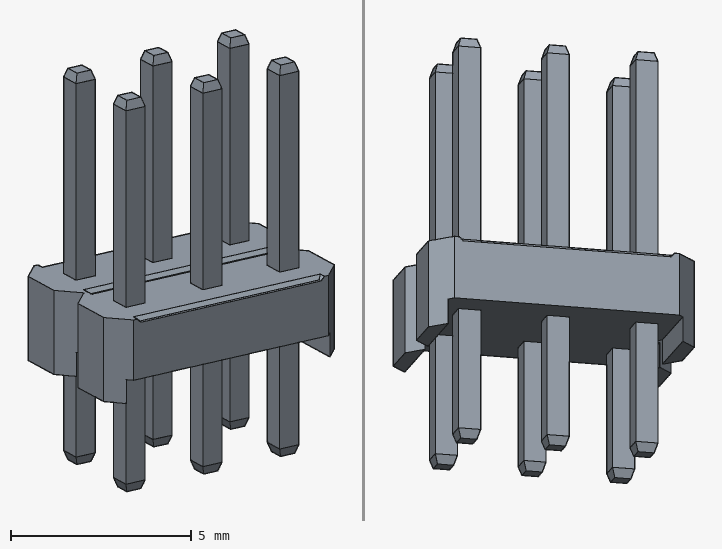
import cadquery as cq

pitch = 2.54
columns = 2
rows = 3

pin_length = 11.6
pin_width = 0.64
pin_tip_width = 0.46
pin_tip_height = 0.27

housing_top = 5.51
housing_height = 2.49
foot_height = 0.71
foot_length = 0.45
foot_side_inset = 0.15
corner_cut_x = 0.61
corner_cut_y = 0.59

groove_width = 0.43
groove_length = 6.17
groove_depth = 0.12
groove_floor_inset = 0.12

housing_length = rows * pitch
foot_bottom = housing_top - housing_height

column_centers = [(i - (columns - 1) / 2) * pitch for i in range(columns)]
row_centers = [(i - (rows - 1) / 2) * pitch for i in range(rows)]
cell_sides = [(i - columns / 2) * pitch for i in range(columns + 1)]


def housing_cell(x):
    """One column of the housing: an elongated octagon standing on two end feet."""
    half_width = pitch / 2
    half_length = housing_length / 2
    end_half_width = half_width - corner_cut_x
    side_half_length = half_length - corner_cut_y
    outline = [
        (-half_width, -side_half_length),
        (-end_half_width, -half_length),
        (end_half_width, -half_length),
        (half_width, -side_half_length),
        (half_width, side_half_length),
        (end_half_width, half_length),
        (-end_half_width, half_length),
        (-half_width, side_half_length),
    ]
    cell = (
        cq.Workplane("XY", origin=(x, 0, foot_bottom))
        .polyline(outline)
        .close()
        .extrude(housing_height)
    )
    channel = (
        cq.Workplane("XY", origin=(x, 0, foot_bottom))
        .rect(pitch, housing_length - 2 * foot_length)
        .extrude(foot_height)
    )
    side_steps = (
        cq.Workplane("XY", origin=(x, 0, foot_bottom))
        .pushPoints([(-half_width, 0), (half_width, 0)])
        .rect(2 * foot_side_inset, housing_length)
        .extrude(foot_height)
    )
    return cell.cut(channel).cut(side_steps)


def top_groove(x):
    """Cutter for one groove, narrowing towards its floor."""
    return (
        cq.Workplane("XY", origin=(x, 0, housing_top))
        .rect(groove_width, groove_length)
        .workplane(offset=-groove_depth)
        .rect(groove_width - 2 * groove_floor_inset, groove_length - 2 * groove_floor_inset)
        .loft(ruled=True)
    )


def pin(x, y):
    """Square pin with a tapered tip at both ends."""
    shaft = (
        cq.Workplane("XY", origin=(x, y, pin_tip_height))
        .rect(pin_width, pin_width)
        .extrude(pin_length - 2 * pin_tip_height)
    )
    lower_tip = (
        cq.Workplane("XY", origin=(x, y, 0))
        .rect(pin_tip_width, pin_tip_width)
        .workplane(offset=pin_tip_height)
        .rect(pin_width, pin_width)
        .loft(ruled=True)
    )
    middle = (x, y, pin_length / 2)
    upper_tip = lower_tip.mirror("XY", basePointVector=middle)
    return shaft.union(lower_tip).union(upper_tip)


result = cq.Workplane("XY")
for column_x in column_centers:
    result = result.union(housing_cell(column_x))

for side_x in cell_sides:
    result = result.cut(top_groove(side_x))

for column_x in column_centers:
    for row_y in row_centers:
        result = result.union(pin(column_x, row_y))